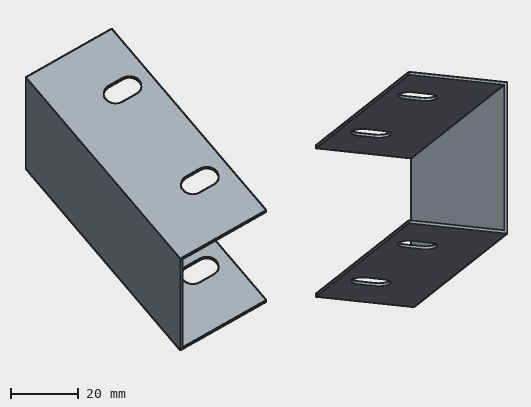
import cadquery as cq

length = 80.0
depth = 30.9
height = 46.7
thickness = 1.0

slot_width = 7.0
slot_length = 12.0
slot_edge_gap = 4.0
slot_spacing = length / 2

channel = cq.Workplane("XY").box(length, depth, height)
cavity = (
    cq.Workplane("XY")
    .box(length, depth, height - 2 * thickness)
    .translate((0, thickness, 0))
)

slot_y = depth / 2 - slot_edge_gap - slot_length / 2
slots = (
    cq.Workplane("XY")
    .pushPoints([(-slot_spacing / 2, slot_y), (slot_spacing / 2, slot_y)])
    .slot2D(slot_length, slot_width, 90)
    .extrude(height, both=True)
)

result = channel.cut(cavity).cut(slots)